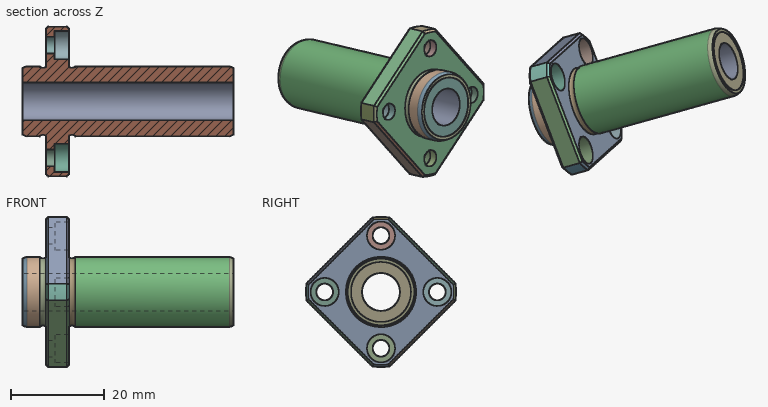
import cadquery as cq
import math

length = 45.0
sleeve_diameter = 15.0
bore_diameter = 8.0
seal_recess_diameter = 12.8
seal_recess_depth = 0.1
end_rounding_length = 1.0
end_rounding_drop = 0.4
end_rounding_radius = 3.0

flange_start = 5.0
flange_thickness = 5.0
flange_side = 25.0
flange_corner_diameter = 32.0
flange_chamfer = 0.5

groove_width = 1.3
groove_radius = 1.0
groove_depth = 0.3

mounting_hole_diameter = 3.5
counterbore_diameter = 6.0
counterbore_depth = 3.1
mounting_circle_diameter = 24.0
mounting_hole_count = 4

sleeve_radius = sleeve_diameter / 2
flange_end = flange_start + flange_thickness


def make_sleeve():
    """Revolve a cylinder whose two ends are rounded by shallow arcs."""
    end_radius = sleeve_radius - end_rounding_drop
    arc_chord = math.hypot(end_rounding_length, end_rounding_drop)
    arc_bulge = end_rounding_radius - math.sqrt(end_rounding_radius**2 - (arc_chord / 2) ** 2)
    return (
        cq.Workplane("XY")
        .lineTo(0, end_radius)
        .sagittaArc((end_rounding_length, sleeve_radius), arc_bulge)
        .lineTo(length - end_rounding_length, sleeve_radius)
        .sagittaArc((length, end_radius), arc_bulge)
        .lineTo(length, 0)
        .close()
        .revolve(360, (0, 0, 0), (1, 0, 0))
    )


def make_groove(flange_face, direction):
    """Ring of round section; direction is the way along X leading off the flange."""
    section_height = sleeve_radius - groove_depth + groove_radius
    half_mouth = math.sqrt(groove_radius**2 - (groove_radius - groove_depth) ** 2)
    section_x = flange_face + direction * (groove_width - half_mouth)
    return (
        cq.Workplane("XY")
        .center(section_x, section_height)
        .circle(groove_radius)
        .revolve(360, (0, -section_height, 0), (1, -section_height, 0))
    )


def make_corner_cylinders(diameter, start):
    """One cylinder per flange corner, from X = start to the far flange face."""
    return (
        cq.Workplane("YZ", origin=(start, 0, 0))
        .polarArray(mounting_circle_diameter / 2, 0, 360, mounting_hole_count)
        .circle(diameter / 2)
        .extrude(flange_end - start)
    )


def make_flange():
    """Square plate trimmed to a round bar, chamfered all round and drilled."""
    plane = cq.Workplane("YZ", origin=(flange_start, 0, 0))
    square = plane.transformed(rotate=(0, 0, 45)).rect(flange_side, flange_side).extrude(flange_thickness)
    round_bar = plane.circle(flange_corner_diameter / 2).extrude(flange_thickness)
    plate = square.intersect(round_bar).faces("<X or >X").chamfer(flange_chamfer)
    through_holes = make_corner_cylinders(mounting_hole_diameter, flange_start)
    counterbores = make_corner_cylinders(counterbore_diameter, flange_end - counterbore_depth)
    return plate.cut(through_holes).cut(counterbores)


sleeve = make_sleeve()
for flange_face, direction in ((flange_start, -1), (flange_end, 1)):
    sleeve = sleeve.cut(make_groove(flange_face, direction))

bore = cq.Workplane("YZ").circle(bore_diameter / 2).extrude(length)

seal_recess = cq.Workplane("YZ").circle(seal_recess_diameter / 2).extrude(seal_recess_depth)
far_seal_recess = seal_recess.translate((length - seal_recess_depth, 0, 0))

result = sleeve.union(make_flange()).cut(bore).cut(seal_recess).cut(far_seal_recess)